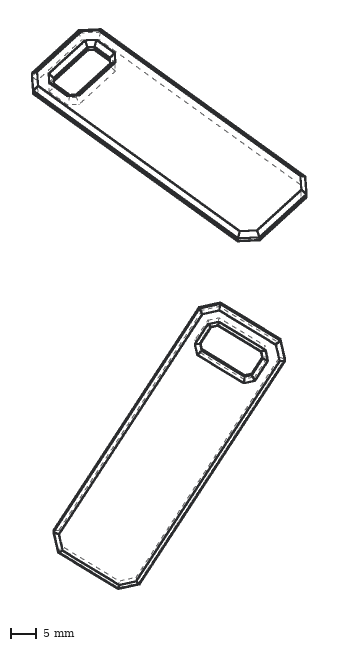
import cadquery as cq

tag_length = 60.0
tag_width = tag_length / 3
tag_thickness = 3.0
tag_corner_cut = 3.0
edge_bevel = tag_thickness / 3

slot_border = 3.0
slot_inset = slot_border + edge_bevel
slot_length_x = 6.0
slot_length_y = tag_width - 2 * slot_inset
slot_corner_cut = edge_bevel
slot_center_x = -tag_length / 2 + slot_inset + slot_length_x / 2


def cut_corner_block(length_x, length_y, corner_cut):
    """Block of the tag's thickness with its four upright corners cut at 45 degrees."""
    block = cq.Workplane("XY").box(length_x, length_y, tag_thickness, centered=(True, True, False))
    return block.edges("|Z").chamfer(corner_cut)


plate = cut_corner_block(tag_length, tag_width, tag_corner_cut)
slot = cut_corner_block(slot_length_x, slot_length_y, slot_corner_cut)
tag = plate.cut(slot.translate((slot_center_x, 0, 0)))

result = tag.faces("|Z").edges().chamfer(edge_bevel)